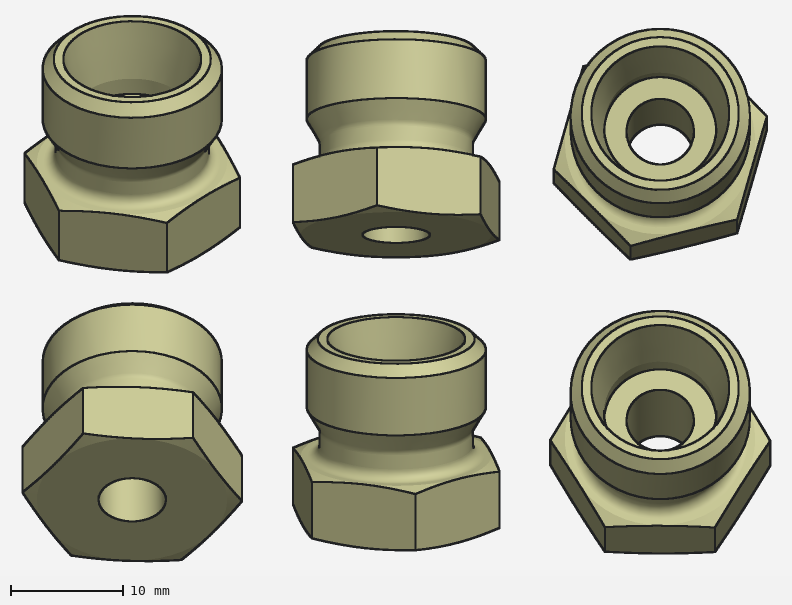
import cadquery as cq
import math

total_height = 17.0

across_flats = 17.0
hex_height = 6.0
bevel_diameter = 16.97
bevel_angle = math.radians(15)

shank_diameter = 16.0
rim_chamfer = 1.0
shank_bottom_z = 10.6
groove_diameter = 13.7
groove_radius = 1.0
groove_flank_angle = math.radians(30)

cone_mouth_diameter = 12.3
cone_half_angle = math.radians(12)
socket_diameter = 10.0
socket_depth = 7.0
hole_diameter = 6.0


def make_hexagon():
    """Hexagon with flats facing +X and -X, its corners bevelled top and bottom."""
    corner_diameter = across_flats / math.cos(math.pi / 6)
    prism = (
        cq.Workplane("XY")
        .polygon(6, corner_diameter)
        .extrude(hex_height)
        .rotate((0, 0, 0), (0, 0, 1), 30)
    )
    bevel_radius = bevel_diameter / 2
    outer_radius = across_flats
    bevel_drop = (outer_radius - bevel_radius) * math.tan(bevel_angle)
    envelope = (
        cq.Workplane("XZ")
        .moveTo(0, 0)
        .lineTo(bevel_radius, 0)
        .lineTo(outer_radius, bevel_drop)
        .lineTo(outer_radius, hex_height - bevel_drop)
        .lineTo(bevel_radius, hex_height)
        .lineTo(0, hex_height)
        .close()
        .revolve(360, (0, 0, 0), (0, 1, 0))
    )
    return prism.intersect(envelope)


def make_shank():
    """Revolved shank with a chamfered rim and a rounded groove next to the hexagon."""
    shank_radius = shank_diameter / 2
    neck_radius = groove_diameter / 2
    arc_center_radius = neck_radius + groove_radius

    def arc_point(center_z, angle):
        """Point on a groove rounding; the angle is measured up from the inward direction."""
        return (
            arc_center_radius - groove_radius * math.cos(angle),
            center_z + groove_radius * math.sin(angle),
        )

    lower_center_z = hex_height + groove_radius
    flank_height = (shank_radius - neck_radius) / math.tan(groove_flank_angle)
    tangent_length = groove_radius * math.tan(groove_flank_angle / 2)
    upper_center_z = shank_bottom_z - flank_height - tangent_length

    return (
        cq.Workplane("XZ")
        .moveTo(0, hex_height)
        .lineTo(arc_center_radius, hex_height)
        .threePointArc(arc_point(lower_center_z, -math.pi / 4), arc_point(lower_center_z, 0))
        .lineTo(neck_radius, upper_center_z)
        .threePointArc(
            arc_point(upper_center_z, groove_flank_angle / 2),
            arc_point(upper_center_z, groove_flank_angle),
        )
        .lineTo(shank_radius, shank_bottom_z)
        .lineTo(shank_radius, total_height - rim_chamfer)
        .lineTo(shank_radius - rim_chamfer, total_height)
        .lineTo(0, total_height)
        .close()
        .revolve(360, (0, 0, 0), (0, 1, 0))
    )


def make_bore():
    """Conical mouth, straight tube socket with a flat floor, and a through hole."""
    mouth_radius = cone_mouth_diameter / 2
    socket_radius = socket_diameter / 2
    hole_radius = hole_diameter / 2
    cone_depth = (mouth_radius - socket_radius) / math.tan(cone_half_angle)
    socket_floor_z = total_height - socket_depth
    return (
        cq.Workplane("XZ")
        .moveTo(0, 0)
        .lineTo(hole_radius, 0)
        .lineTo(hole_radius, socket_floor_z)
        .lineTo(socket_radius, socket_floor_z)
        .lineTo(socket_radius, total_height - cone_depth)
        .lineTo(mouth_radius, total_height)
        .lineTo(0, total_height)
        .close()
        .revolve(360, (0, 0, 0), (0, 1, 0))
    )


result = make_hexagon().union(make_shank()).cut(make_bore())